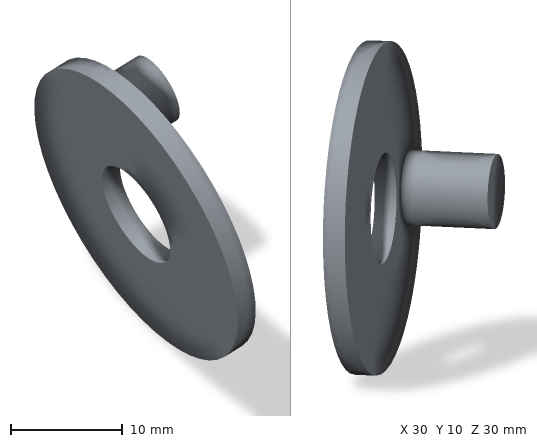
import cadquery as cq

disc_diameter = 30.0
disc_thickness = 2.0
bore_diameter = disc_diameter / 3

overall_depth = disc_diameter / 3
pin_diameter = 6.75
pin_offset = disc_diameter / 3
pin_length = overall_depth - disc_thickness


def cylinder_along_y(diameter, length, x=0.0, y=0.0):
    """Cylinder that starts at (x, y, 0) and runs toward +Y."""
    return cq.Workplane(
        cq.Solid.makeCylinder(diameter / 2, length, cq.Vector(x, y, 0), cq.Vector(0, 1, 0))
    )


disc = cylinder_along_y(disc_diameter, disc_thickness)
bore = cylinder_along_y(bore_diameter, disc_thickness)
pin = cylinder_along_y(pin_diameter, pin_length, x=-pin_offset, y=disc_thickness)

result = disc.cut(bore).union(pin)